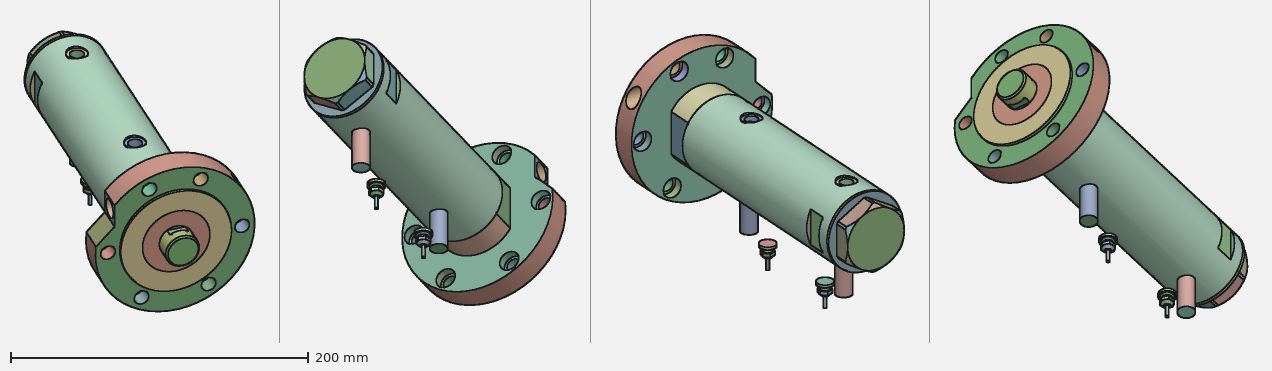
import cadquery as cq
import math


overall_height = 133.7
flange_diameter = 114.0
flange_radius = flange_diameter / 2

collar_start = 13.0
tube_start = 15.3
tube_end = 190.3
flange_start = 211.0
flange_end = 230.2
boss_end = 232.5
rod_end = 246.2
cap_spigot_end = 38.2
bush_start = 152.5

tube_radius = 29.5
bore_radius = 20.0
wrench_flat_start = 24.9
wrench_flat_end = 39.6
wrench_flat_offset = 26.3
port_positions = (35.7, 151.0)
port_radius = 5.0
port_seat_diameter = 15.0
port_seat_height = 28.0
stub_positions = (39.1, 153.9)
stub_radius = 6.2
stub_bottom = -flange_radius

hex_half_angle = 30
hex_apothem = 23.0
hex_corner_radius = 25.9
hex_chamfer = hex_corner_radius - hex_apothem

bush_radius = 24.1

boss_radius = 39.6
neck_flat_offset = 24.9
bolt_circle_radius = 48.0
bolt_angles = (0, 67.5, 112.5, 180, 240, 300)
bolt_hole_radius = 5.2
counterbore_radius = 7.1
counterbore_depth = 7.0
notch_offset = 43.3
notch_bottom = 20.0
cross_hole_radius = 7.0
cross_hole_height = 28.8

piston_length = 19.7
rod_radius = 12.0
rod_flat_offset = 10.0
rod_flat_end = 238.3
rod_chamfer = 1.2

plug_positions = (61.8, 131.2)
plug_top = -56.9
plug_bottom = flange_radius - overall_height
plug_head_radius = 6.2
plug_head_bottom = -59.0
plug_shoulder_radius = 5.0
plug_neck_radius = 3.5
plug_neck_top = -60.3
plug_hex_top = -62.5
plug_hex_bottom = -65.2
plug_hex_radius = 5.2
plug_hex_turn = -13
plug_cone_radius = 4.7
plug_cone_end_radius = 2.5
plug_cone_bottom = -67.5
plug_stem_radius = 1.2


def cylinder_x(radius, start, end):
    """Solid cylinder on the main axis between two X positions."""
    return cq.Workplane("YZ", origin=(start, 0, 0)).circle(radius).extrude(end - start)


def cylinder_z(x, radius, bottom, top):
    """Solid vertical cylinder on the plane Y = 0."""
    return cq.Workplane("XY", origin=(x, 0, bottom)).circle(radius).extrude(top - bottom)


def outer_flats(start, end, offset, radius):
    """The two slabs that lie beyond Y = +offset and Y = -offset, for cutting parallel flats."""
    depth = radius - offset
    return (
        cq.Workplane("XY", origin=((start + end) / 2, 0, 0))
        .pushPoints([(0, offset + depth), (0, -offset - depth)])
        .box(end - start, 2 * depth, 2 * radius)
    )


def make_tube():
    """Tube with two stubs below, two seated ports above and a wrench flat on each side."""
    tube = cylinder_x(tube_radius, tube_start, tube_end)
    for x in stub_positions:
        tube = tube.union(cylinder_z(x, stub_radius, stub_bottom, 0))
    tube = tube.cut(cylinder_x(bore_radius, tube_start, bush_start))
    tube = tube.cut(cylinder_x(bush_radius, bush_start, tube_end))
    tube = tube.cut(outer_flats(wrench_flat_start, wrench_flat_end, wrench_flat_offset, tube_radius))
    for x in port_positions:
        tube = tube.cut(cylinder_z(x, port_radius, 0, tube_radius))
        tube = tube.cut(cylinder_z(x, port_seat_diameter / 2, port_seat_height, tube_radius))
    return tube


def make_cap():
    """Hex head, collar flush with the tube, and a spigot that fills the end of the bore."""
    hexagon = (
        cq.Workplane("YZ")
        .polygon(6, 2 * hex_apothem / math.cos(math.radians(hex_half_angle)))
        .extrude(collar_start)
        .rotate((0, 0, 0), (1, 0, 0), hex_half_angle)
    )
    turned_blank = cylinder_x(hex_corner_radius, 0, collar_start).faces("<X").chamfer(hex_chamfer)
    collar = cylinder_x(tube_radius, collar_start, tube_start)
    spigot = cylinder_x(bore_radius, tube_start, cap_spigot_end)
    return hexagon.intersect(turned_blank).union(collar).union(spigot)


def make_flange():
    """Notched disc with a flatted neck toward the tube and a thin boss on the rod side."""
    neck = cylinder_x(tube_radius, tube_end, flange_start)
    neck = neck.cut(outer_flats(tube_end, flange_start, neck_flat_offset, tube_radius))
    disc = cut_notch(cylinder_x(flange_radius, flange_start, flange_end))
    boss = cylinder_x(boss_radius, flange_end, boss_end)
    flange = neck.union(disc).union(boss)
    cross_hole = (
        cq.Workplane("XZ", origin=((flange_start + flange_end) / 2, 0, cross_hole_height))
        .circle(cross_hole_radius)
        .extrude(flange_radius, both=True)
    )
    flange = cut_bolt_holes(flange).cut(cross_hole)
    return flange.cut(cylinder_x(bush_radius, tube_end, boss_end))


def cut_notch(disc):
    """Cut the rim away on the -Y side, down to a ramp that falls outward at 45 degrees."""
    run = flange_radius - notch_offset
    notch = (
        cq.Workplane("YZ", origin=(flange_start, 0, 0))
        .moveTo(-notch_offset, flange_radius)
        .lineTo(-notch_offset, notch_bottom)
        .lineTo(-flange_radius, notch_bottom - run)
        .lineTo(-flange_radius, flange_radius)
        .close()
        .extrude(flange_end - flange_start)
    )
    return disc.cut(notch)


def cut_bolt_holes(flange):
    """Drill the bolt circle and counterbore each hole from the tube side."""
    centres = [
        (
            bolt_circle_radius * math.cos(math.radians(angle)),
            bolt_circle_radius * math.sin(math.radians(angle)),
        )
        for angle in bolt_angles
    ]
    flange_face = cq.Workplane("YZ", origin=(flange_start, 0, 0)).pushPoints(centres)
    holes = flange_face.circle(bolt_hole_radius).extrude(flange_end - flange_start)
    counterbores = flange_face.circle(counterbore_radius).extrude(counterbore_depth)
    return flange.cut(holes).cut(counterbores)


def make_bush():
    """Plain sleeve around the rod."""
    return cylinder_x(bush_radius, bush_start, boss_end).cut(cylinder_x(rod_radius, bush_start, boss_end))


def make_piston_rod():
    """Piston against the cap spigot, and its rod with two flats behind the chamfered end."""
    rod = cylinder_x(rod_radius, cap_spigot_end, rod_end).faces(">X").chamfer(rod_chamfer)
    flats = outer_flats(boss_end, rod_flat_end, rod_flat_offset, rod_radius)
    rod = rod.cut(flats.rotate((0, 0, 0), (1, 0, 0), 90))
    piston = cylinder_x(bore_radius, cap_spigot_end, cap_spigot_end + piston_length)
    return rod.union(piston)


def make_plug(x):
    """Turned plug with a disc head, a hexagon below its neck and a thin stem."""
    turned = (
        cq.Workplane("XZ")
        .moveTo(0, plug_top)
        .lineTo(plug_head_radius, plug_top)
        .lineTo(plug_head_radius, plug_head_bottom)
        .lineTo(plug_shoulder_radius, plug_head_bottom)
        .lineTo(plug_neck_radius, plug_neck_top)
        .lineTo(plug_neck_radius, plug_hex_bottom)
        .lineTo(plug_cone_radius, plug_hex_bottom)
        .lineTo(plug_cone_end_radius, plug_cone_bottom)
        .lineTo(plug_stem_radius, plug_cone_bottom)
        .lineTo(plug_stem_radius, plug_bottom)
        .lineTo(0, plug_bottom)
        .close()
        .revolve(360)
    )
    hexagon = (
        cq.Workplane("XY", origin=(0, 0, plug_hex_bottom))
        .polygon(6, 2 * plug_hex_radius)
        .extrude(plug_hex_top - plug_hex_bottom)
        .rotate((0, 0, 0), (0, 0, 1), plug_hex_turn)
    )
    return turned.union(hexagon).translate((x, 0, 0))


tube = make_tube()
cap = make_cap()
flange = make_flange()
bush = make_bush()
piston_rod = make_piston_rod()
plugs = [make_plug(x) for x in plug_positions]

bodies = [tube, cap, flange, bush, piston_rod, *plugs]
result = cq.Compound.makeCompound([body.solids().val() for body in bodies])